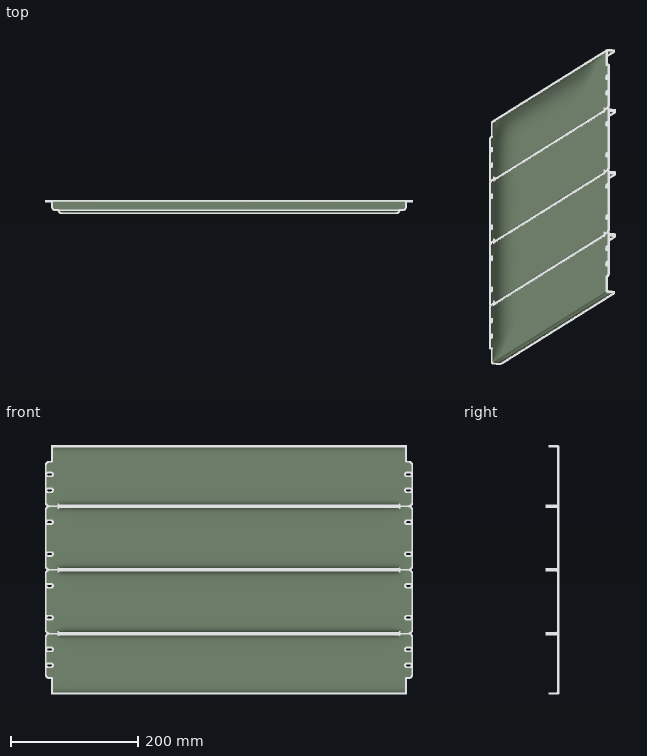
import cadquery as cq


width = 576.5
total_height = 390.0
depth = 20.0
joint_pitch = 100.0
sheet = 1.5
bend_inner_radius = 1.5
plate_corner_radius = 6.0
flange_corner_radius = 5.0

joint_flange_depth = depth
joint_flange_inset = 20.0

end_flange_depth = 15.0
end_flange_inset = 10.0
shoulder_height = 24.75

slot_length = 10.5
slot_height = 5.5
slot_margin = 1.0

back = depth / 2
front = back - sheet
top = total_height / 2
bend_outer_radius = bend_inner_radius + sheet
bend_start = back - bend_outer_radius
slot_center_x = width / 2 - slot_margin - slot_length / 2


def flat_plate(z_low, z_high, low_is_end, high_is_end):
    """Flat part between the two bends, stepped in where an end flange is folded."""
    plate = cq.Workplane("XY").box(width, sheet, z_high - z_low)
    plate = plate.translate((0, back - sheet / 2, (z_low + z_high) / 2))
    for z_edge, inward, is_end in ((z_low, 1, low_is_end), (z_high, -1, high_is_end)):
        if is_end:
            for side in (-1, 1):
                step = cq.Workplane("XY").box(end_flange_inset, sheet, shoulder_height)
                step_x = side * (width - end_flange_inset) / 2
                step_z = z_edge + inward * shoulder_height / 2
                plate = plate.cut(step.translate((step_x, back - sheet / 2, step_z)))
    return plate.edges("|Y and (<X or >X)").fillet(plate_corner_radius)


def bend_clearance(z_edge, inward, length):
    """Block of the flat plate that the bend takes the place of."""
    block = cq.Workplane("XY").box(length, sheet, bend_outer_radius)
    return block.translate((0, back - sheet / 2, z_edge + inward * bend_outer_radius / 2))


def flange(z_edge, inward, flange_depth, length):
    """Bend and forward flange whose outer face lies at z_edge, with rounded tip corners."""
    tip = back - flange_depth
    z_inner = z_edge + inward * sheet
    z_bend_end = z_edge + inward * bend_outer_radius
    folded = (
        cq.Workplane("YZ")
        .moveTo(back, z_bend_end)
        .radiusArc((bend_start, z_edge), inward * bend_outer_radius)
        .lineTo(tip, z_edge)
        .lineTo(tip, z_inner)
        .lineTo(bend_start, z_inner)
        .radiusArc((front, z_bend_end), -inward * bend_inner_radius)
        .close()
        .extrude(length / 2, both=True)
    )
    return folded.edges("|Z and <Y").fillet(flange_corner_radius)


def slot(x, z):
    """Horizontal slot through the sheet."""
    outline = cq.Workplane("XZ", origin=(x, back, z)).slot2D(slot_length, slot_height)
    return outline.extrude(sheet)


def make_panel(z_low, z_high, slot_heights, low_is_end=False, high_is_end=False):
    """One panel between z_low and z_high; an end edge carries the shallower, longer end flange."""
    panel = flat_plate(z_low, z_high, low_is_end, high_is_end)
    for z_edge, inward, is_end in ((z_low, 1, low_is_end), (z_high, -1, high_is_end)):
        flange_depth = end_flange_depth if is_end else joint_flange_depth
        inset = end_flange_inset if is_end else joint_flange_inset
        length = width - 2 * inset
        panel = panel.cut(bend_clearance(z_edge, inward, length))
        panel = panel.union(flange(z_edge, inward, flange_depth, length))
    for z in slot_heights:
        for side in (-1, 1):
            panel = panel.cut(slot(side * slot_center_x, z))
    return panel


quarter = joint_pitch / 4
outer_slots = (joint_pitch + quarter, joint_pitch + 2 * quarter)
inner_slots = (quarter, joint_pitch - quarter)

bottom_panel = make_panel(-top, -joint_pitch, [-z for z in outer_slots], low_is_end=True)
lower_panel = make_panel(-joint_pitch, 0, [-z for z in inner_slots])
upper_panel = make_panel(0, joint_pitch, inner_slots)
top_panel = make_panel(joint_pitch, top, outer_slots, high_is_end=True)

result = cq.Compound.makeCompound([
    bottom_panel.val(),
    lower_panel.val(),
    upper_panel.val(),
    top_panel.val(),
])